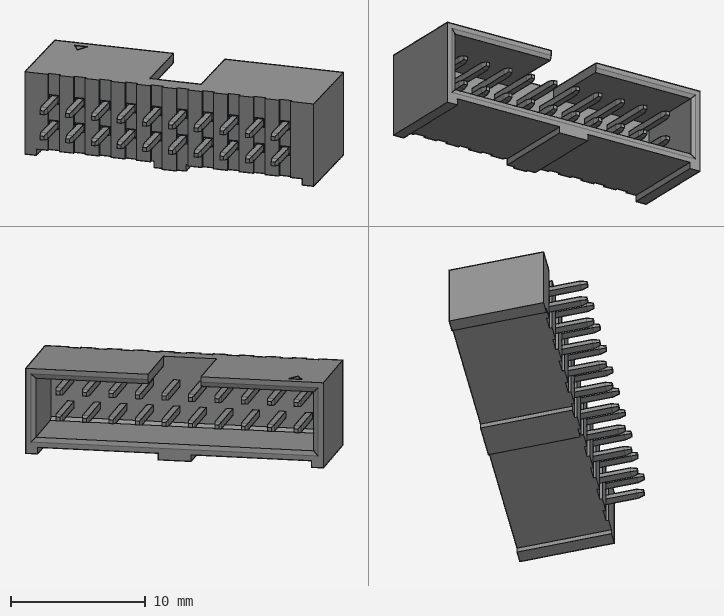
import cadquery as cq
import math

LENGTH = 22.5
DEPTH = 7.2
HEIGHT = 6.5
FOOT_HEIGHT = 0.5
END_FOOT_WIDTH = 0.9
CENTRE_FOOT_WIDTH = 2.5

WALL = 0.75
CAVITY_DEPTH = 5.7
FLOOR_BEVEL_DEPTH = 0.25
FLOOR_BEVEL_RISE = 0.25
MOUTH_BEVEL_DEPTH = 0.1
MOUTH_BEVEL_WIDTH = 0.35
KEY_NOTCH_WIDTH = 4.0

PITCH = 2.0
COLUMNS = 10
ROWS = 2
PIN_WIDTH = 0.5
PIN_TIP_WIDTH = 0.3
PIN_TIP_LENGTH = 0.5
TAIL_LENGTH = 2.8
PIN_SETBACK = 0.95

GROOVE_WIDTH = 0.9
GROOVE_DEPTH = 0.2
FLARE_WIDTH = 0.75
FLARE_HEIGHT = 0.7
FLARE_DEPTH = 0.1

MARK_SIDE = 1.0
MARK_THICKNESS = 0.03
MARK_SETBACK = 0.68

body_middle = (FOOT_HEIGHT + HEIGHT) / 2
cavity_floor = DEPTH - CAVITY_DEPTH
cavity_length = LENGTH - 2 * WALL
cavity_bottom = FOOT_HEIGHT + WALL
cavity_height = HEIGHT - FOOT_HEIGHT - 2 * WALL
column_xs = [(i - (COLUMNS - 1) / 2) * PITCH for i in range(COLUMNS)]
row_zs = [body_middle + (i - (ROWS - 1) / 2) * PITCH for i in range(ROWS)]


def block(width, depth, height, x, y, z):
    """Box centred on x, starting at y and z."""
    return cq.Workplane("XY").box(width, depth, height, centered=(True, False, False)).translate((x, y, z))


def frustum(start_size, end_size, length, x, y, z):
    """Rectangular frustum along +Y, centred on x and z; each size is (X width, Z height)."""
    return (
        cq.Workplane("XZ", origin=(x, y, z))
        .rect(*start_size)
        .workplane(offset=-length)
        .rect(*end_size)
        .loft(ruled=True)
    )


def housing_block():
    body = block(LENGTH, DEPTH, HEIGHT - FOOT_HEIGHT, 0, 0, FOOT_HEIGHT)
    end_foot_x = (LENGTH - END_FOOT_WIDTH) / 2
    feet = [(-end_foot_x, END_FOOT_WIDTH), (0, CENTRE_FOOT_WIDTH), (end_foot_x, END_FOOT_WIDTH)]
    for x, width in feet:
        body = body.union(block(width, DEPTH, FOOT_HEIGHT, x, 0, 0))
    return body


def cavity():
    """Mating cavity with a bevelled lower floor edge and a bevelled mouth."""
    space = block(cavity_length, CAVITY_DEPTH, cavity_height, 0, cavity_floor, cavity_bottom)
    floor_bevel = (
        cq.Workplane("YZ", origin=(-cavity_length / 2, cavity_floor, cavity_bottom))
        .polyline([(0, 0), (FLOOR_BEVEL_DEPTH, 0), (0, FLOOR_BEVEL_RISE)])
        .close()
        .extrude(cavity_length)
    )
    mouth_size = (cavity_length + 2 * MOUTH_BEVEL_WIDTH, cavity_height + 2 * MOUTH_BEVEL_WIDTH)
    mouth_bevel = frustum(
        (cavity_length, cavity_height),
        mouth_size,
        MOUTH_BEVEL_DEPTH,
        0,
        DEPTH - MOUTH_BEVEL_DEPTH,
        body_middle,
    )
    return space.cut(floor_bevel).union(mouth_bevel)


def key_notch():
    return block(KEY_NOTCH_WIDTH, CAVITY_DEPTH, HEIGHT - body_middle, 0, cavity_floor, body_middle)


def tail_groove(x):
    """Full-height groove behind one column of contacts, with a flared opening at each pin."""
    groove = block(GROOVE_WIDTH, GROOVE_DEPTH, HEIGHT, x, 0, 0)
    for z in row_zs:
        flare = frustum((FLARE_WIDTH, FLARE_HEIGHT), (PIN_WIDTH, PIN_WIDTH), FLARE_DEPTH, x, GROOVE_DEPTH, z)
        groove = groove.union(flare)
    return groove


def pin(x, z):
    """Square contact pin with a tapered tip at both ends."""
    full = (PIN_WIDTH, PIN_WIDTH)
    tip = (PIN_TIP_WIDTH, PIN_TIP_WIDTH)
    shank_start = -TAIL_LENGTH + PIN_TIP_LENGTH
    shank_end = DEPTH - PIN_SETBACK - PIN_TIP_LENGTH
    shank = block(PIN_WIDTH, shank_end - shank_start, PIN_WIDTH, x, shank_start, z - PIN_WIDTH / 2)
    tail_tip = frustum(tip, full, PIN_TIP_LENGTH, x, -TAIL_LENGTH, z)
    mating_tip = frustum(full, tip, PIN_TIP_LENGTH, x, shank_end, z)
    return shank.union(tail_tip).union(mating_tip)


def pin_one_mark():
    base_y = DEPTH - MARK_SETBACK
    apex_y = base_y - MARK_SIDE * math.sqrt(3) / 2
    x = column_xs[0]
    return (
        cq.Workplane("XY", origin=(0, 0, HEIGHT))
        .polyline([(x - MARK_SIDE / 2, base_y), (x + MARK_SIDE / 2, base_y), (x, apex_y)])
        .close()
        .extrude(MARK_THICKNESS)
    )


connector = housing_block().cut(cavity()).cut(key_notch())
for column_x in column_xs:
    connector = connector.cut(tail_groove(column_x))
for column_x in column_xs:
    for row_z in row_zs:
        connector = connector.union(pin(column_x, row_z))

result = connector.union(pin_one_mark())